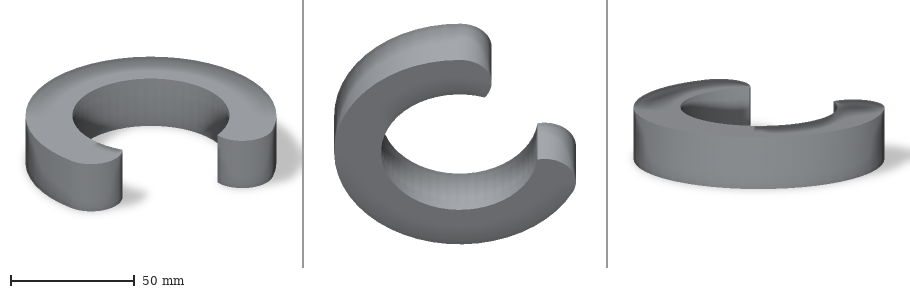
import cadquery as cq
import math

outer_radius = 50.7
inner_radius = 31.7
thickness = 21.6
tip_radius = 12.7
tip_reach = 33.0

tip_distance = outer_radius - tip_radius
tip_x = tip_reach - tip_radius
tip_y = math.sqrt(tip_distance**2 - tip_x**2)
tangent_x = tip_x * outer_radius / tip_distance
tangent_y = tip_y * outer_radius / tip_distance

along = (inner_radius**2 - tip_radius**2 + tip_distance**2) / (2 * tip_distance)
across = math.sqrt(inner_radius**2 - along**2)
corner_x = (along * tip_x + across * tip_y) / tip_distance
corner_y = (along * tip_y - across * tip_x) / tip_distance

result = (
    cq.Workplane("XY")
    .moveTo(tangent_x, tangent_y)
    .threePointArc((-outer_radius, 0), (tangent_x, -tangent_y))
    .threePointArc((tip_reach, -tip_y), (corner_x, -corner_y))
    .threePointArc((-inner_radius, 0), (corner_x, corner_y))
    .threePointArc((tip_reach, tip_y), (tangent_x, tangent_y))
    .close()
    .extrude(thickness)
)